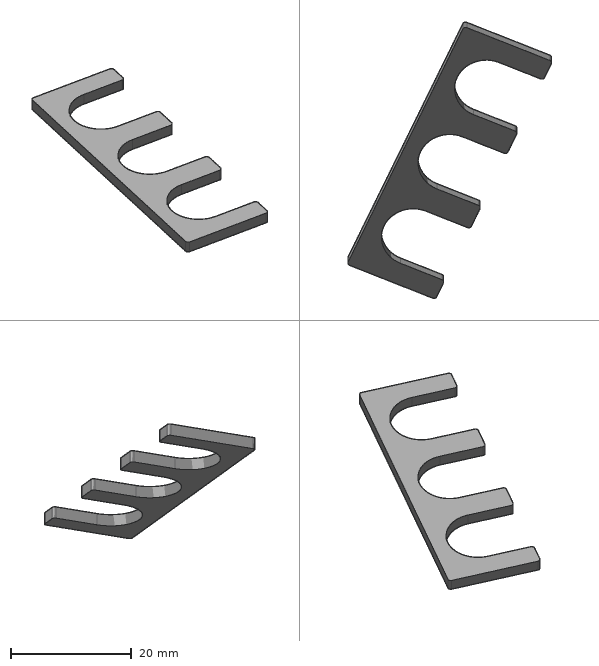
import cadquery as cq

length = 48.0
width = 16.0
thickness = 2.0
corner_radius = 0.5

slot_count = 3
slot_pitch = 15.0
slot_width = 10.5
slot_radius = slot_width / 2
slot_center_y = width / 2


def make_plate():
    """Rectangular plate, centred in X, with its front edge on Y = 0."""
    return cq.Workplane("XY").box(length, width, thickness, centered=(True, False, False))


def make_slot(center_x):
    """U-shaped cutter: straight sides to the back edge and a half-round bottom."""
    left = center_x - slot_radius
    right = center_x + slot_radius
    return (
        cq.Workplane("XY")
        .moveTo(left, width)
        .lineTo(left, slot_center_y)
        .threePointArc((center_x, slot_center_y - slot_radius), (right, slot_center_y))
        .lineTo(right, width)
        .close()
        .extrude(thickness)
    )


def round_corners(body):
    """Round the vertical edges on the front and back edges of the plate."""
    front_rounded = body.faces("<Y").edges("|Z").fillet(corner_radius)
    return front_rounded.faces(">Y").edges("|Z").fillet(corner_radius)


comb = make_plate()
first_slot_x = -slot_pitch * (slot_count - 1) / 2
for index in range(slot_count):
    comb = comb.cut(make_slot(first_slot_x + index * slot_pitch))

result = round_corners(comb)